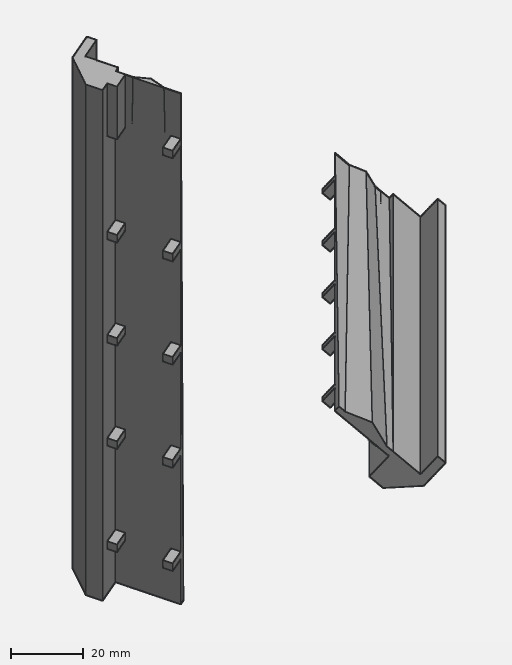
import cadquery as cq

length = 198.0
width = 33.0
depth = 17.0

rail_width = 13.0
rail_depth = 9.9
bevel = 8.0
lip_thickness = 3.0

web_front = 8.1
lower_thickness = rail_depth - web_front
upper_thickness = 0.2
lower_ridge_rise = 2.5
upper_ridge_rise = 1.5
ridge_slope = 1 / 3
web_center = (rail_width + width) / 2

peg_size = 3.0
peg_front = 3.0
peg_reach = web_front - peg_front
peg_pitch = 40.0
peg_count = 5


def make_rail():
    """Rail with a bevelled front corner and a lip at the back."""
    outline = [
        (bevel, 0),
        (rail_width, 0),
        (rail_width, rail_depth),
        (lip_thickness, rail_depth),
        (lip_thickness, depth),
        (0, depth),
        (0, bevel),
    ]
    return cq.Workplane("XY").polyline(outline).close().extrude(length)


def web_outline(thickness, ridge_rise):
    """Web cross-section: flat margins of the given thickness with a ridge between them."""
    web_back = web_front + thickness
    ridge_half_width = ridge_rise / ridge_slope
    return [
        (rail_width, web_front),
        (width, web_front),
        (width, web_back),
        (web_center + ridge_half_width, web_back),
        (web_center, web_back + ridge_rise),
        (web_center - ridge_half_width, web_back),
        (rail_width, web_back),
    ]


def make_web():
    """Web tapering in a straight line from its lower section to its upper one."""
    lower = cq.Workplane("XY").polyline(web_outline(lower_thickness, lower_ridge_rise)).close()
    upper_outline = web_outline(upper_thickness, upper_ridge_rise)
    upper = lower.workplane(offset=length).polyline(upper_outline).close()
    return upper.loft(ruled=True)


def make_peg(left, bottom, height):
    """Peg standing forward from the web."""
    return cq.Workplane("XY").box(peg_size, peg_reach, height, centered=False).translate(
        (left, peg_front, bottom)
    )


result = make_rail().union(make_web())
for index in range(peg_count):
    center = length / 2 + (index - (peg_count - 1) / 2) * peg_pitch
    bottom = center - peg_size / 2
    is_last = index == peg_count - 1
    rail_peg_height = length - bottom if is_last else peg_size
    result = result.union(make_peg(rail_width, bottom, rail_peg_height))
    result = result.union(make_peg(width - peg_size, bottom, peg_size))